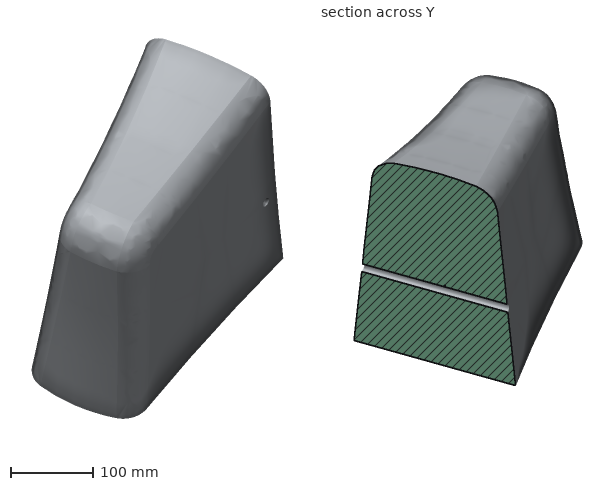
import cadquery as cq
import math

depth = 336.5
height = 313.0
back_foot_y = 324.7
back_bow = 3.0

crest_y = 48.0
crest_z = 271.2
top_hollow_radius = 1076.7
front_hollow_radius = 2018.8
top_crown_radius = 403.8
front_crown_radius = 215.5

side_margin = 16.8
side_front_half_width = 74.7
side_back_half_width = 114.5
side_sag = 5.0
side_lean = 0.088

bend_radius = 50.5
edge_radius = 34.3
hole_diameter = 11.8
hole_y = 305.5
hole_z = 120.0

stock_half_width = 134.5
stock_allowance = 6.7


def make_stock():
    """Block with the flat base and the bowed back face, oversize at the front and sides."""
    back_middle = ((back_foot_y + depth) / 2 - back_bow, height / 2)
    return (
        cq.Workplane("YZ")
        .moveTo(-side_margin, 0)
        .lineTo(back_foot_y, 0)
        .threePointArc(back_middle, (depth, height))
        .lineTo(depth, height + stock_allowance)
        .lineTo(-side_margin, height + stock_allowance)
        .close()
        .extrude(stock_half_width, both=True)
    )


def crowned_barrel(start, end, hollow_radius, crown_radius):
    """Barrel turned about an X-parallel axis, lying on the outer side of the body.

    Its waist runs through the (y, z) points start and end with the hollow radius, and
    its rim widens away from X = 0 to leave a crown on the face it cuts.
    """
    (y0, z0), (y1, z1) = start, end
    chord = math.hypot(y1 - y0, z1 - z0)
    axis_offset = math.sqrt(hollow_radius**2 - (chord / 2) ** 2)
    axis_y = (y0 + y1) / 2 - axis_offset * (z1 - z0) / chord
    axis_z = (z0 + z1) / 2 + axis_offset * (y1 - y0) / chord
    crown_drop = crown_radius - math.sqrt(crown_radius**2 - stock_half_width**2)
    rim_radius = hollow_radius + crown_drop
    return (
        cq.Workplane("XY", origin=(0, axis_y, axis_z))
        .moveTo(-stock_half_width, 0)
        .lineTo(-stock_half_width, rim_radius)
        .threePointArc((0, hollow_radius), (stock_half_width, rim_radius))
        .lineTo(stock_half_width, 0)
        .close()
        .revolve(360, (0, 0, 0), (1, 0, 0))
    )


def side_cutter(side):
    """Leaning prism outside one side wall; side is +1 or -1 along X."""
    front = (side * side_front_half_width, -side_margin)
    back = (side * side_back_half_width, depth + side_margin)
    middle_x = side * ((side_front_half_width + side_back_half_width) / 2 - side_sag)
    outer_x = side * 2 * stock_half_width
    plan = (
        cq.Workplane("XY")
        .moveTo(*front)
        .threePointArc((middle_x, depth / 2), back)
        .lineTo(outer_x, back[1])
        .lineTo(outer_x, front[1])
        .close()
    )
    lean = cq.Vector(-side * side_lean, 0, 1) * (height + 2 * stock_allowance)
    return cq.Solid.extrudeLinear(plan.wire().val(), [], lean)


def make_hole():
    """Straight round hole through both side walls."""
    return (
        cq.Workplane("YZ")
        .center(hole_y, hole_z)
        .circle(hole_diameter / 2)
        .extrude(stock_half_width, both=True)
    )


toe = (0, 0)
crest = (crest_y, crest_z)
back_top = (depth, height)
sides = (-1, 1)

body = make_stock()
body = body.cut(crowned_barrel(crest, back_top, top_hollow_radius, top_crown_radius))
body = body.cut(crowned_barrel(toe, crest, front_hollow_radius, front_crown_radius))
for side in sides:
    body = body.cut(cq.Workplane(side_cutter(side)))

crest_edge = cq.selectors.NearestToPointSelector((0, crest_y, crest_z))
body = body.edges(crest_edge).fillet(bend_radius)

for side in sides:
    chain_start = (side * side_front_half_width / 2, 0, height / 10)
    chain_end = (side * stock_half_width, depth * 0.9, height)
    chain = cq.selectors.BoxSelector(chain_start, chain_end)
    body = body.edges(chain).fillet(edge_radius)

result = body.cut(make_hole())